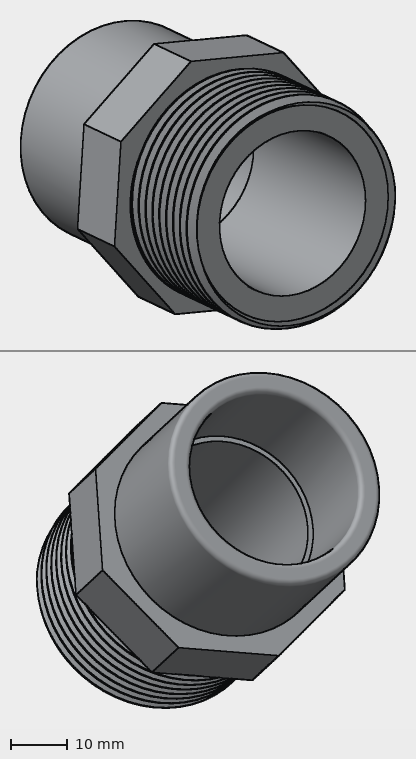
import cadquery as cq
import math

TOTAL_LENGTH = 60.0
SPIGOT_LENGTH = 26.05
COLLAR_END = 38.6
THREAD_LENGTH = TOTAL_LENGTH - COLLAR_END

SPIGOT_DIAMETER = 40.0
ROOT_DIAMETER = 39.3
SOCKET_DIAMETER = 32.0
BORE_DIAMETER = 30.0
SOCKET_DEPTH = 22.0
MOUTH_RADIUS = 0.95

COLLAR_SIDES = 8
COLLAR_ACROSS_FLATS = 46.0
COLLAR_TILT = 4.0

THREAD_DIAMETER = 42.25
EIGHT_TURNS = 18.6
PITCH = EIGHT_TURNS / 8
RIDGE_BASE_WIDTH = 1.85
CREST_WIDTH = 0.3
TOP_CREST_X = 39.8
RIDGE_SINK = 0.3
TRIM_MARGIN = 1.2


def cylinder(diameter, start, length):
    """Cylinder about the X axis."""
    return cq.Workplane("YZ", origin=(start, 0, 0)).circle(diameter / 2).extrude(length)


def make_collar():
    across_corners = COLLAR_ACROSS_FLATS / math.cos(math.pi / COLLAR_SIDES)
    flat_to_corner = 180 / COLLAR_SIDES
    return (
        cq.Workplane("YZ", origin=(SPIGOT_LENGTH, 0, 0))
        .polygon(COLLAR_SIDES, across_corners)
        .extrude(COLLAR_END - SPIGOT_LENGTH)
        .rotate((0, 0, 0), (1, 0, 0), flat_to_corner - COLLAR_TILT)
    )


def make_fitting():
    """Spigot, collar and threaded-end core, with a stepped bore and a rounded mouth."""
    outside = (
        cylinder(SPIGOT_DIAMETER, 0, SPIGOT_LENGTH)
        .union(make_collar())
        .union(cylinder(ROOT_DIAMETER, COLLAR_END, THREAD_LENGTH))
    )
    bored = outside.cut(cylinder(BORE_DIAMETER, 0, TOTAL_LENGTH))
    socketed = bored.cut(cylinder(SOCKET_DIAMETER, 0, SOCKET_DEPTH))
    return socketed.faces("<X").edges().fillet(MOUTH_RADIUS)


def make_thread():
    """Helical ridge around the core, trimmed at the collar and at the end face."""
    root_radius = ROOT_DIAMETER / 2
    crest_radius = THREAD_DIAMETER / 2
    flank_slope = (RIDGE_BASE_WIDTH - CREST_WIDTH) / 2 / (crest_radius - root_radius)
    base_half = RIDGE_BASE_WIDTH / 2 + flank_slope * RIDGE_SINK
    crest_half = CREST_WIDTH / 2
    sunk_radius = root_radius - RIDGE_SINK

    helix_start = TOP_CREST_X - 2 * PITCH
    turns = math.ceil(THREAD_LENGTH / PITCH) + 3
    helix = cq.Wire.makeHelix(PITCH, turns * PITCH, root_radius)
    ridge = (
        cq.Workplane("XZ")
        .polyline([
            (sunk_radius, -base_half),
            (crest_radius, -crest_half),
            (crest_radius, crest_half),
            (sunk_radius, base_half),
        ])
        .close()
        .sweep(cq.Workplane(obj=helix), isFrenet=True)
    )
    ridge = (
        ridge.rotate((0, 0, 0), (0, 1, 0), 90)
        .rotate((0, 0, 0), (1, 0, 0), 180)
        .translate((helix_start, 0, 0))
    )
    thread_band = cylinder(THREAD_DIAMETER + TRIM_MARGIN, COLLAR_END, THREAD_LENGTH)
    core = cylinder(ROOT_DIAMETER, COLLAR_END, THREAD_LENGTH)
    return ridge.intersect(thread_band).cut(core)


fitting = make_fitting()
thread = make_thread()
result = cq.Compound.makeCompound([fitting.val(), *thread.vals()])